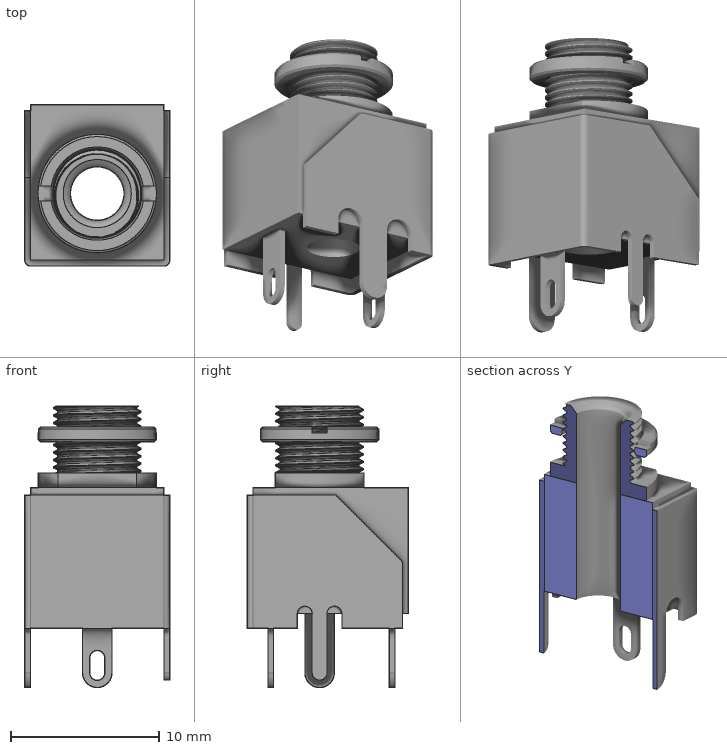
import cadquery as cq
import math


bore_diameter = 3.6
housing_half_width = 4.5
housing_front_y = -4.5
housing_back_y = 6.0
housing_height = 8.5
housing_bottom_z = -housing_height

sheet_thickness = 0.4
shell_top_z = -0.5
shell_setback = 0.4
shell_height = 9.0
shell_bottom_z = shell_top_z - shell_height
shell_half_width = housing_half_width + sheet_thickness
shell_front_y = housing_front_y - sheet_thickness
shell_back_y = housing_back_y - shell_setback
shell_corner_chamfer = 4.5
left_leg_width = 2.0
right_leg_width = 1.0
leg_arc_z = -12.5

pin_width = 2.0
pin_eye_width = 1.0
pin_eye_length = 2.0
pin_eye_center_z = -12.0
front_pin_y = -3.3
back_pin_y = 4.9

flange_diameter = 8.0
flange_across_flats = 6.0
flange_thickness = 1.0
countersink_diameter = 4.6
countersink_depth = 0.5

thread_diameter = 5.93
thread_root_diameter = 5.35
thread_pitch = 0.5
thread_turns = 9
bush_top_z = flange_thickness + thread_turns * thread_pitch
crest_width = thread_pitch / 8
root_width = thread_pitch / 4
first_crest_height = thread_pitch / 4
flank_curve_points = 8

nut_diameter = 8.0
nut_bore_diameter = 6.0
nut_bottom_z = 3.1
nut_thickness = 1.0
nut_chamfer = 0.15
nut_slot_width = 1.0
nut_slot_depth = 0.4


def make_housing():
    depth = housing_back_y - housing_front_y
    block = (
        cq.Workplane("XY", origin=(0, (housing_back_y + housing_front_y) / 2, housing_bottom_z))
        .rect(2 * housing_half_width, depth)
        .extrude(housing_height)
    )
    bore = (
        cq.Workplane("XY", origin=(0, 0, housing_bottom_z))
        .circle(bore_diameter / 2)
        .extrude(housing_height)
    )
    return block.cut(bore)


def leg(width, inner_x):
    """Round-ended leg on one side wall, as a sheet whose lower X face is at inner_x."""
    radius = width / 2
    return (
        cq.Workplane("YZ", origin=(inner_x, 0, 0))
        .moveTo(-radius, housing_bottom_z)
        .lineTo(-radius, leg_arc_z)
        .threePointArc((0, leg_arc_z - radius), (radius, leg_arc_z))
        .lineTo(radius, housing_bottom_z)
        .close()
        .extrude(sheet_thickness)
    )


def leg_reliefs(width, inner_x):
    """Two round-topped notches, as wide as the leg, that free the leg from its side wall."""
    radius = width / 2
    reliefs = cq.Workplane("YZ", origin=(inner_x, 0, 0))
    for center_y in (-width, width):
        reliefs = (
            reliefs.moveTo(center_y - radius, shell_bottom_z)
            .lineTo(center_y - radius, housing_bottom_z)
            .threePointArc((center_y, housing_bottom_z + radius), (center_y + radius, housing_bottom_z))
            .lineTo(center_y + radius, shell_bottom_z)
            .close()
        )
    return reliefs.extrude(sheet_thickness)


def make_shell():
    depth = shell_back_y - shell_front_y
    outer = (
        cq.Workplane("YZ", origin=(-shell_half_width, 0, 0))
        .moveTo(shell_front_y, shell_bottom_z)
        .lineTo(shell_back_y, shell_bottom_z)
        .lineTo(shell_back_y, shell_top_z - shell_corner_chamfer)
        .lineTo(shell_back_y - shell_corner_chamfer, shell_top_z)
        .lineTo(shell_front_y, shell_top_z)
        .close()
        .extrude(2 * shell_half_width)
        .edges("|Z and <Y")
        .fillet(sheet_thickness)
    )
    inside = (
        cq.Workplane("XY", origin=(0, housing_front_y + depth / 2, shell_bottom_z))
        .rect(2 * housing_half_width, depth)
        .extrude(shell_height)
    )
    shell = outer.cut(inside)
    for width, inner_x in ((left_leg_width, -shell_half_width), (right_leg_width, housing_half_width)):
        shell = shell.cut(leg_reliefs(width, inner_x))
        shell = shell.union(leg(width, inner_x))
    return shell


def make_pin(center_y):
    """Flat round-ended pin with an elongated eye, standing on the underside of the housing."""
    radius = pin_width / 2
    back_y = center_y + sheet_thickness / 2
    blade = (
        cq.Workplane("XZ", origin=(0, back_y, 0))
        .moveTo(-radius, housing_bottom_z)
        .lineTo(-radius, leg_arc_z)
        .threePointArc((0, leg_arc_z - radius), (radius, leg_arc_z))
        .lineTo(radius, housing_bottom_z)
        .close()
        .extrude(sheet_thickness)
    )
    eye = (
        cq.Workplane("XZ", origin=(0, back_y, pin_eye_center_z))
        .slot2D(pin_eye_length, pin_eye_width, 90)
        .extrude(sheet_thickness)
    )
    return blade.cut(eye)


def polar_point(radius, angle):
    return (radius * math.cos(angle), radius * math.sin(angle))


def thread_turn():
    """One turn of right-hand trapezoidal thread: its cross-section twisted up the bush axis.

    Going once around the section passes through one pitch of the thread profile, so crest and
    root are arcs and each flank is a spiral between them.
    """
    crest_radius = thread_diameter / 2
    root_radius = thread_root_diameter / 2
    crest_half_angle = math.pi * crest_width / thread_pitch
    root_half_angle = math.pi * root_width / thread_pitch
    flank_angle = math.pi - crest_half_angle - root_half_angle
    crest_angle = -2 * math.pi * first_crest_height / thread_pitch
    root_angle = crest_angle + math.pi
    falling_start = crest_angle + crest_half_angle
    rising_start = root_angle + root_half_angle
    flank_drop = crest_radius - root_radius

    def falling_flank(t):
        return polar_point(crest_radius - flank_drop * t, falling_start + flank_angle * t)

    def rising_flank(t):
        return polar_point(root_radius + flank_drop * t, rising_start + flank_angle * t)

    return (
        cq.Workplane("XY", origin=(0, 0, flange_thickness))
        .moveTo(*polar_point(crest_radius, crest_angle - crest_half_angle))
        .threePointArc(polar_point(crest_radius, crest_angle), falling_flank(0))
        .parametricCurve(falling_flank, N=flank_curve_points, makeWire=False)
        .moveTo(*falling_flank(1))
        .threePointArc(polar_point(root_radius, root_angle), rising_flank(0))
        .parametricCurve(rising_flank, N=flank_curve_points, makeWire=False)
        .wire()
        .twistExtrude(thread_pitch, 360)
    )


def make_bush():
    flats = cq.Workplane("XY").rect(flange_diameter, flange_across_flats).extrude(flange_thickness)
    flange = cq.Workplane("XY").circle(flange_diameter / 2).extrude(flange_thickness).intersect(flats)
    bore = (
        cq.Workplane("XZ")
        .polyline([
            (0, 0),
            (bore_diameter / 2, 0),
            (bore_diameter / 2, bush_top_z - countersink_depth),
            (countersink_diameter / 2, bush_top_z),
            (0, bush_top_z),
        ])
        .close()
        .revolve(360, (0, 0), (0, 1))
    )
    turn = thread_turn().val()
    turns = [turn.translate(cq.Vector(0, 0, index * thread_pitch)) for index in range(thread_turns)]
    return cq.Workplane(obj=flange.val().fuse(*turns)).cut(bore)


def make_nut():
    """Ring nut with a plain bore that clears the thread and one screwdriver slot across its top."""
    ring = (
        cq.Workplane("XY", origin=(0, 0, nut_bottom_z))
        .circle(nut_diameter / 2)
        .circle(nut_bore_diameter / 2)
        .extrude(nut_thickness)
        .edges("%CIRCLE")
        .chamfer(nut_chamfer)
    )
    slot = (
        cq.Workplane("XY", origin=(0, 0, nut_bottom_z + nut_thickness - nut_slot_depth))
        .rect(nut_diameter, nut_slot_width)
        .extrude(nut_slot_depth)
    )
    return ring.cut(slot)


housing = make_housing()
shell = make_shell()
bush = make_bush()
nut = make_nut()
pins = [make_pin(center_y) for center_y in (front_pin_y, back_pin_y)]

bodies = [housing, shell, bush, nut, *pins]
result = cq.Compound.makeCompound([body.solids().val() for body in bodies])